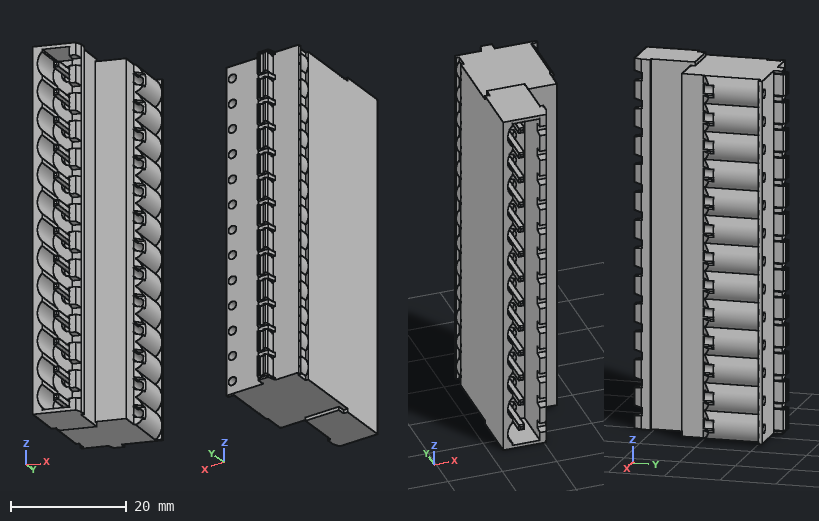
import cadquery as cq


poles = 13
total_length = 66.3
body_length = 65.0
pitch = body_length / poles
pole_heights = [(i - (poles - 1) / 2) * pitch for i in range(poles)]

body_width = 13.5
body_front = 10.1
body_rear = 24.9
flange_width = 15.0
flange_thickness = 0.65
flange_front = body_rear - flange_thickness

header_width = 7.8
header_rear = 10.9
header_corner_width = 0.85
header_corner_rear = 9.4
lip_width = 0.6
lip_mouth_step = 0.05
lip_rear = 3.0
lip_slope_rear = 1.3
lip_outer = header_width + lip_width

cavity_depth = 7.95
cavity_inner_wall = 6.75
cavity_outer_wall = 0.85
scallop_depth = 0.85
contact_x = 3.85
scallop_radius = contact_x - cavity_outer_wall

socket_radius = 1.4
socket_depth = 1.3
socket_floor = cavity_depth + socket_depth
pin_size = 1.0
pin_tip_y = 1.05
pin_chamfer = 0.25

notch_depth = 1.45
notch_mouth_width = 1.85
notch_floor_width = 1.3

groove_front = 21.8
groove_rear = 24.15
groove_depth = 0.5
bump_width = 3.3

collar_front = 13.9
collar_radius = 3.2
collar_center_x = flange_width - collar_radius
collar_notch_rear = 16.1
collar_notch_width = 2.2
screw_hole_x = 13.7
screw_hole_radius = 0.8

ridge_top = 26.4
ridge_base_x = 4.85
ridge_top_x = 5.3
ridge_end_x = 7.35
lever_width = 3.8
lever_gap = 0.2
lever_top = 26.6
rail_top = 27.0
rail_width = 0.6
rail_bevel = 0.2


def box(x_range, y_range, z_center, z_length):
    """Box between two X and two Y positions, centred on a height."""
    return (
        cq.Workplane("XY", origin=(0, 0, z_center - z_length / 2))
        .moveTo(x_range[0], y_range[0])
        .lineTo(x_range[1], y_range[0])
        .lineTo(x_range[1], y_range[1])
        .lineTo(x_range[0], y_range[1])
        .close()
        .extrude(z_length)
    )


def prism(points, z_center, z_length):
    """Polygon in X and Y, extruded along Z and centred on a height."""
    base = cq.Workplane("XY", origin=(0, 0, z_center - z_length / 2))
    return base.polyline(points).close().extrude(z_length)


def rods(x, radius, y_start, y_end):
    """One cylinder along Y per pole."""
    plane = cq.Workplane("XZ", origin=(0, y_start, 0))
    return plane.pushPoints([(x, z) for z in pole_heights]).circle(radius).extrude(y_start - y_end)


def plug_body():
    body = box((0, body_width), (body_front, body_rear), 0, body_length)
    flange = box((0, flange_width), (flange_front, body_rear), 0, body_length)
    corner = box((0, header_corner_width), (header_corner_rear, body_front), 0, body_length)
    return body.union(flange).union(corner)


def header_shell():
    outline = [
        (0, 0),
        (header_width + lip_mouth_step, 0),
        (lip_outer, lip_slope_rear),
        (lip_outer, lip_rear),
        (header_width, lip_rear),
        (header_width, header_rear),
        (header_corner_width, header_rear),
        (header_corner_width, header_corner_rear),
        (0, header_corner_rear),
    ]
    return prism(outline, 0, total_length)


def cavity():
    scallop_cusp = cavity_outer_wall + scallop_depth
    main = box((scallop_cusp, cavity_inner_wall), (0, cavity_depth), 0, body_length)
    limits = box((cavity_outer_wall, cavity_inner_wall), (0, cavity_depth), 0, body_length)
    scallops = rods(contact_x, scallop_radius, 0, cavity_depth)
    return main.union(scallops.intersect(limits))


def pins():
    pin = (
        cq.Workplane("XZ", origin=(contact_x, socket_floor, 0))
        .rect(pin_size, pin_size)
        .extrude(socket_floor - pin_tip_y)
        .faces("<Y")
        .chamfer(pin_chamfer)
    )
    row = cq.Workplane("XY")
    for z in pole_heights:
        row = row.union(pin.translate((0, 0, z)))
    return row


def lip_notches():
    row = cq.Workplane("YZ", origin=(cavity_inner_wall, 0, 0))
    for z in pole_heights:
        row = (
            row.moveTo(0, z - notch_mouth_width / 2)
            .lineTo(notch_depth, z - notch_floor_width / 2)
            .lineTo(notch_depth, z + notch_floor_width / 2)
            .lineTo(0, z + notch_mouth_width / 2)
            .close()
        )
    return row.extrude(lip_outer - cavity_inner_wall)


def side_groove():
    """Groove with its bumps left standing, crowned level with the side face."""
    groove = box((0, groove_depth), (groove_front, groove_rear), 0, body_length)
    bump_radius = (groove_depth**2 + (bump_width / 2) ** 2) / (2 * groove_depth)
    return groove.cut(rods(bump_radius, bump_radius, groove_front, groove_rear))


def screw_collars():
    """Collars with a 45 degree front, notched across the crown in front of each screw hole."""
    overhang = flange_width - body_width
    limits = prism(
        [
            (body_width, collar_front),
            (flange_width, collar_front + overhang),
            (flange_width, flange_front),
            (body_width, flange_front),
        ],
        0,
        body_length,
    )
    collars = rods(collar_center_x, collar_radius, collar_front, flange_front).intersect(limits)
    for z in pole_heights:
        notch = box((body_width, flange_width), (collar_front, collar_notch_rear), z, collar_notch_width)
        collars = collars.cut(notch)
    return collars


def rear_ridge():
    ridge = prism(
        [
            (ridge_base_x, body_rear),
            (ridge_end_x, body_rear),
            (ridge_end_x, ridge_top),
            (ridge_top_x, ridge_top),
        ],
        0,
        body_length,
    )
    for z in pole_heights:
        gap = box((ridge_base_x, ridge_end_x), (body_rear, ridge_top), z, lever_width + 2 * lever_gap)
        ridge = ridge.cut(gap)
    return ridge


def lever_blocks():
    """Lever blocks whose two rails are bevelled on their outer edges."""
    outline = [
        (ridge_top_x, body_rear),
        (ridge_top_x, lever_top),
        (ridge_top_x + rail_bevel, rail_top),
        (ridge_top_x + rail_width, rail_top),
        (ridge_top_x + rail_width, lever_top),
        (ridge_end_x - rail_width, lever_top),
        (ridge_end_x - rail_width, rail_top),
        (ridge_end_x - rail_bevel, rail_top),
        (ridge_end_x, lever_top),
        (ridge_end_x, body_rear),
    ]
    blocks = cq.Workplane("XY")
    for z in pole_heights:
        blocks = blocks.union(prism(outline, z, lever_width))
    return blocks


result = plug_body().union(header_shell())
result = result.cut(cavity()).cut(rods(contact_x, socket_radius, cavity_depth, socket_floor))
result = result.union(pins()).cut(lip_notches())
result = result.cut(side_groove())
result = result.union(screw_collars()).cut(rods(screw_hole_x, screw_hole_radius, collar_front, body_rear))
result = result.union(rear_ridge()).union(lever_blocks())